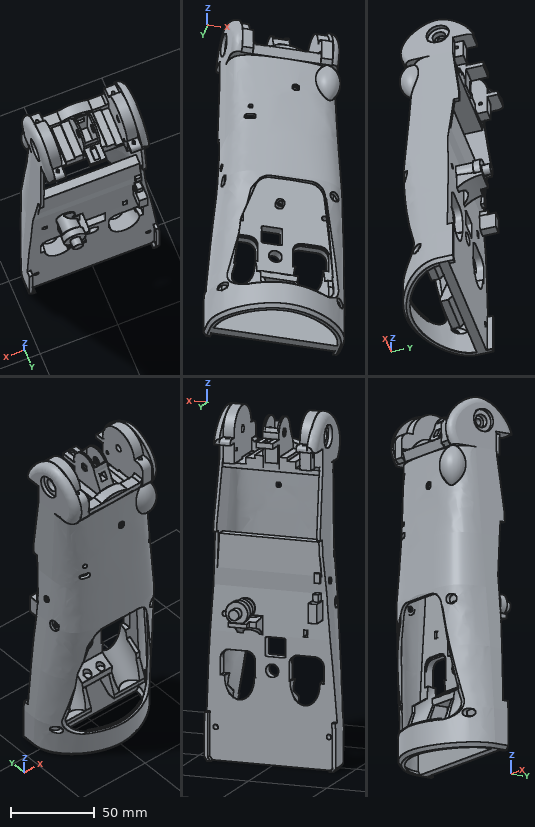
import cadquery as cq
import math


TOTAL_HEIGHT = 218.0
BASE_HALF_WIDTH = 41.99
BASE_FRONT = -42.1
BASE_TOP = 17.5
BASE_CHAMFER_HEIGHT = 2.4
BASE_CHAMFER_INSET = 1.9
SHELL_TOP = 186.0
WALL = 2.2
BACK_REACH = 6.0
FAR = 60.0

BASE_SECTION = (24.0, -BASE_HALF_WIDTH, BASE_HALF_WIDTH, BASE_FRONT, 1.78)
SECTIONS = [
    BASE_SECTION,
    (62.0, -38.8, 40.6, -38.4, 2.4),
    (99.0, -35.2, 38.4, -38.0, 3.2),
    (132.0, -32.8, 36.2, -35.6, 3.2),
    (SHELL_TOP, -32.6, 33.4, -32.3, 3.0),
]
FRONT_STEPS = 6
SEAM_FOOT = -9.3
SEAM_LEAN = -0.0455

BASE_BACK_TOP = 30.0
BACK_WAIST = (-4.5, 108.0)
STEP_INNER, STEP_OUTER = -1.4, 1.75
STEP_BOTTOM, STEP_TOP = 142.0, 148.0
NECK_BACK = -2.8

WINDOW_TOP = (-39.0, 103.5)
WINDOW_KNEE = (-35.6, 86.0)
WINDOW_MIDDLE = (-32.3, 57.0)
WINDOW_FOOT = (-26.7, 28.5)
WINDOW_BEND = (-28.6, 21.5)
WINDOW_BEND_END = (-34.5, BASE_TOP)
WINDOW_INNER_TOP = 96.4
LIP_HEIGHT = 1.3
LIP_INSET = 1.7
LIP_HALF_WIDTH = 26.0

EAR_PIVOT_Y = -12.1
EAR_PIVOT_Z = 203.3
EAR_DISC_RADIUS = TOTAL_HEIGHT - EAR_PIVOT_Z
EAR_FOOT = SHELL_TOP
EAR_BAND = 7.0
EAR_LEFT_OUT, EAR_LEFT_IN = -32.6, -20.0
EAR_RIGHT_IN, EAR_RIGHT_OUT = 21.9, 33.4
EAR_DOME_ROUND = 4.8
EAR_BORES = [(14.0, 2.5), (8.0, 6.0), (4.4, 15.0)]
EAR_BACK = 9.2
EAR_BACK_LEDGE = 201.0
EAR_UNDERCUT = 197.6
EAR_FRONT = -35.3
EAR_FRONT_LEDGE = 204.0
FRONT_LOBE_ROUND = 5.0
FRONT_LOBE_CHAMFER = 2.5
REAR_LOBE_ROUND = 2.0
LOBE_SETBACK = 0.5
PIN_DIAMETER = 2.0
LEDGE_HOLES_Y = (4.6, -28.3)
LEDGE_HOLE_BOTTOM = EAR_UNDERCUT + 0.8
CHEEK_BACK = 2.6
CHEEK_PIN = (-1.7, 193.0)
HEAD_TOP = 192.0
HEAD_FRONT = -34.3
CROWN = 2.6

PANEL_BACK = -3.5
PANEL_THICKNESS = 6.0
PANEL_FRONT = PANEL_BACK - PANEL_THICKNESS
PANEL_TOP = 140.0

DECK_BOTTOM, DECK_TOP = 181.0, 184.0

CELL_DIAMETER = 19.0
CELL_X = 20.9
CELL_RAKE = 42.0
CELL_EXIT_Z = 52.9
CELL_FLOOR = 22.4
OPENING_TOP = 69.0
OPENING_STEP = 1.2
OPENING_ROUND = 6.0
CRADLE_HALF_WIDTH = 33.0
CHANNEL_HALF_WIDTH = 9.0
CHANNEL_TOP = 35.6
BACK_SLOT_BOTTOM = 32.8
POST_HALF_WIDTH = 10.8
POCKET_X = 5.1

LEVER_LEFT, LEVER_RIGHT = -4.7, 5.7
LEVER_CHEEK = 1.2
LEVER_RADIUS = 9.7
LEVER_PIN = 5.0

PLUNGER_X, PLUNGER_Z = 17.0, 95.5
PLUNGER_TIP = 16.43

BASE_SCREW_Z = 20.6


def box(x0, x1, y0, y1, z0, z1):
    """Box between two opposite corners."""
    return cq.Workplane("XY").box(x1 - x0, y1 - y0, z1 - z0, centered=False).translate((x0, y0, z0))


def side_prism(outline, x0, x1):
    """Prism along X over a closed (Y, Z) polygon."""
    return cq.Workplane("YZ").polyline(outline).close().extrude(x1 - x0).translate((x0, 0, 0))


def rod(axis, center, diameter, start, end):
    """Cylinder along X, Y or Z between two stations; center holds the other two coordinates."""
    a, b = center
    origin, direction = {
        "X": ((start, a, b), (1, 0, 0)),
        "Y": ((a, start, b), (0, 1, 0)),
        "Z": ((a, b, start), (0, 0, 1)),
    }[axis]
    solid = cq.Solid.makeCylinder(diameter / 2, end - start, cq.Vector(*origin), cq.Vector(*direction))
    return cq.Workplane(solid)


def section_wire(section, height, inset):
    """D-section wire: straight back and sides closed by a rounded front."""
    left, right, front, roundness = section[1:]
    middle = (left + right) / 2
    half = (right - left) / 2 - inset
    shoulder = SEAM_FOOT + SEAM_LEAN * height
    depth = shoulder - front - inset
    handle = (8 * 2 ** (-1 / roundness) - 4) / 3

    def point(t):
        """Point of the front at t from -1 (left end) through 0 (foremost) to 1 (right end)."""
        u, v = abs(t), 1 - abs(t)
        across = math.copysign(u ** 3 + 3 * u ** 2 * v + 3 * u * v ** 2 * handle, t)
        forward = v ** 3 + 3 * v ** 2 * u + 3 * v * u ** 2 * handle
        return cq.Vector(middle + across * half, shoulder - forward * depth, height)

    curve = [point(i / FRONT_STEPS) for i in range(-FRONT_STEPS, FRONT_STEPS + 1)]
    back_left = cq.Vector(middle - half, BACK_REACH, height)
    back_right = cq.Vector(middle + half, BACK_REACH, height)
    return cq.Wire.assembleEdges([
        cq.Edge.makeLine(back_left, curve[0]),
        cq.Edge.makeSpline(curve),
        cq.Edge.makeLine(curve[-1], back_right),
        cq.Edge.makeLine(back_right, back_left),
    ])


def envelope(inset):
    """Solid body of the grip, pulled in by inset: a straight base with a tapered foot, then the taper."""
    wires = [
        section_wire(BASE_SECTION, 0, inset + BASE_CHAMFER_INSET),
        section_wire(BASE_SECTION, BASE_CHAMFER_HEIGHT, inset),
    ]
    wires += [section_wire(section, section[0], inset) for section in SECTIONS]
    return cq.Workplane(cq.Solid.makeLoft(wires, True))


def base_lip():
    """Low ledge standing on the base along the foot of the window."""
    wires = [section_wire(BASE_SECTION, z, LIP_INSET) for z in (BASE_TOP - 2, BASE_TOP + LIP_HEIGHT)]
    reach = box(-LIP_HALF_WIDTH, LIP_HALF_WIDTH, BASE_FRONT, WINDOW_BEND_END[0], 0, FAR)
    return cq.Workplane(cq.Solid.makeLoft(wires, True)).intersect(reach)


def side_trim():
    """Prism whose side outline gives the stepped back and the raked front window."""
    front = BASE_FRONT - 10
    outline = (
        cq.Workplane("YZ")
        .moveTo(0, 0)
        .lineTo(0, BASE_BACK_TOP)
        .lineTo(PANEL_BACK, BASE_BACK_TOP)
        .lineTo(PANEL_BACK, 80)
        .lineTo(*BACK_WAIST)
        .lineTo(STEP_INNER, STEP_BOTTOM)
        .lineTo(STEP_OUTER, STEP_BOTTOM)
        .lineTo(STEP_OUTER, STEP_TOP)
        .lineTo(NECK_BACK, EAR_FOOT)
        .lineTo(front, SHELL_TOP)
        .lineTo(front, WINDOW_TOP[1])
        .lineTo(*WINDOW_TOP)
        .lineTo(*WINDOW_KNEE)
        .threePointArc(WINDOW_MIDDLE, WINDOW_FOOT)
        .threePointArc(WINDOW_BEND, WINDOW_BEND_END)
        .lineTo(front, BASE_TOP)
        .lineTo(front, 0)
        .close()
    )
    return outline.extrude(2 * FAR).translate((-FAR, 0, 0))


def fittings():
    """Everything standing inside the grip: panel, cradles and the deck floor."""
    cells = cell_space(-CELL_X).union(cell_space(CELL_X))
    return panel().union(cradle()).cut(cells).union(deck_floor())


def make_shell():
    """Grip wall with its inner fittings left standing in the hollow."""
    outer = envelope(0).intersect(side_trim()).union(base_lip()).union(knuckle_bulge())
    hollow = envelope(WALL).union(window_relief()).cut(fittings())
    return outer.cut(hollow)


def window_relief():
    """Clears the inner side of the wall behind the window so that its rim is narrow."""
    sill, front, back = 36.0, -FAR, -22.0
    outline = [(-30.4, sill), (-27.3, 66), (-16.5, WINDOW_INNER_TOP), (22.8, WINDOW_INNER_TOP), (30.6, sill)]
    prism = cq.Workplane("XZ").polyline(outline).close().extrude(back - front).translate((0, back, 0))
    corner = 9.0
    return prism.edges("|Y and >Z").fillet(corner)


def knuckle_bulge():
    """Spindle-shaped swelling near the top of the front, on the +X side."""
    bottom, top, radius = 161.0, 187.5, 8.0
    axis_x, axis_y = 26.6, -29.5
    spindle = (
        cq.Workplane("XZ").moveTo(0, bottom)
        .threePointArc((radius, (bottom + top) / 2), (0, top)).close()
        .revolve(360, (0, 0, 0), (0, 1, 0))
    )
    return spindle.translate((axis_x, axis_y, 0))


def head_wall():
    """Overhanging front wall between the ears, with a low crown under the lever."""
    corner, back = 1.8, -27.0
    left, right = EAR_LEFT_IN - EAR_BAND, EAR_RIGHT_IN + EAR_BAND
    top = HEAD_TOP + CROWN
    face = (
        cq.Workplane("XZ").moveTo(left, EAR_FOOT)
        .lineTo(left, HEAD_TOP + corner).lineTo(EAR_LEFT_IN, HEAD_TOP + corner)
        .lineTo(EAR_LEFT_IN + corner, HEAD_TOP).lineTo(-9.5, HEAD_TOP)
        .threePointArc((0.5, top), (10.5, HEAD_TOP))
        .lineTo(EAR_RIGHT_IN - corner, HEAD_TOP).lineTo(EAR_RIGHT_IN, HEAD_TOP + corner)
        .lineTo(right, HEAD_TOP + corner).lineTo(right, EAR_FOOT)
        .close().extrude(FAR)
    )
    shell_front = SECTIONS[-1][3]
    lean = [(back, EAR_FOOT), (shell_front, EAR_FOOT), (HEAD_FRONT, HEAD_TOP), (HEAD_FRONT, top), (back, top)]
    return face.intersect(side_prism(lean, -FAR, FAR))


def ear_outline():
    """Side outline of an ear's outer, domed layer."""
    return (
        cq.Workplane("YZ")
        .moveTo(NECK_BACK, EAR_FOOT)
        .lineTo(NECK_BACK, EAR_UNDERCUT)
        .lineTo(EAR_BACK, EAR_UNDERCUT)
        .lineTo(EAR_BACK, EAR_BACK_LEDGE)
        .spline([(-2.0, 214.0), (-13.0, TOTAL_HEIGHT), (-24.7, 214.2), (-34.6, 203.5), (-33.0, EAR_FOOT)],
                includeCurrent=True)
        .close()
    )


def ear(inner, outer):
    """Hinge ear from its flat inner face to its domed outer face."""
    side = math.copysign(1, outer)
    dome_depth = abs(outer - inner) - EAR_BAND
    dome = ear_outline().extrude(side * dome_depth).translate((inner + side * EAR_BAND, 0, 0))
    rim = "<X" if side < 0 else ">X"
    dome = dome.faces(rim).edges("%BSPLINE").fillet(min(EAR_DOME_ROUND, 0.9 * dome_depth))

    x0, x1 = sorted((inner, inner + side * EAR_BAND))
    disc = rod("X", (EAR_PIVOT_Y, EAR_PIVOT_Z), 2 * EAR_DISC_RADIUS, x0, x1)
    front_lobe = box(x0, x1, EAR_FRONT + LOBE_SETBACK, EAR_PIVOT_Y, EAR_FOOT, EAR_FRONT_LEDGE)
    front_lobe = front_lobe.edges("|X and <Y").edges(">Z").fillet(FRONT_LOBE_ROUND)
    front_lobe = front_lobe.edges("|X and <Y").edges("<Z").chamfer(FRONT_LOBE_CHAMFER)
    rear_lobe = box(x0, x1, EAR_PIVOT_Y, EAR_BACK, EAR_UNDERCUT, EAR_BACK_LEDGE)
    rear_lobe = rear_lobe.edges("|X and >Y").edges(">Z").fillet(REAR_LOBE_ROUND)
    cheek = box(x0, x1, EAR_PIVOT_Y, CHEEK_BACK, EAR_FOOT - 1, EAR_UNDERCUT)
    plate = disc.union(front_lobe).union(rear_lobe).union(cheek).union(dome)

    for diameter, depth in EAR_BORES:
        bore = rod("X", (EAR_PIVOT_Y, EAR_PIVOT_Z), diameter, *sorted((outer, outer - side * depth)))
        plate = plate.cut(bore)
    for y in LEDGE_HOLES_Y:
        plate = plate.cut(rod("Z", ((x0 + x1) / 2, y), PIN_DIAMETER, LEDGE_HOLE_BOTTOM, TOTAL_HEIGHT))
    pin_hole = rod("X", CHEEK_PIN, PIN_DIAMETER, *sorted((inner, outer)))
    return plate.cut(pin_hole)


def deck_floor():
    """Floor closing the top of the hollow in front of the back opening."""
    return box(EAR_LEFT_OUT, EAR_RIGHT_OUT, -FAR, PANEL_BACK, DECK_BOTTOM, DECK_TOP)


def deck_blocks():
    """Two stepped blocks on the deck, one each side of the lever."""
    front = -27.0
    step_top, block_top = 188.0, 190.0
    blocks = box(-15.0, LEVER_LEFT, front, PANEL_BACK, DECK_TOP, step_top)
    blocks = blocks.union(box(-9.5, LEVER_LEFT, front, PANEL_BACK, DECK_TOP, block_top))
    blocks = blocks.union(box(LEVER_RIGHT, 16.7, front, PANEL_BACK, DECK_TOP, step_top))
    return blocks.union(box(LEVER_RIGHT, 11.0, front, PANEL_BACK, DECK_TOP, block_top))


def lever():
    """Forked lever standing between the ears."""
    pivot = (EAR_PIVOT_Y, EAR_PIVOT_Z)
    inner_left, inner_right = LEVER_LEFT + LEVER_CHEEK, LEVER_RIGHT - LEVER_CHEEK
    foot, fork_bottom, well_bottom = DECK_TOP - 1, 208.0, 186.0
    front, tail_back, tail_top = -27.0, 7.9, 201.0

    body = rod("X", pivot, 2 * LEVER_RADIUS, LEVER_LEFT, LEVER_RIGHT)
    outline = [(PANEL_BACK, foot), (-2.5, 205), (-20, fork_bottom), (front, 194), (front, foot)]
    stem = side_prism(outline, LEVER_LEFT, LEVER_RIGHT)
    tail = box(LEVER_LEFT, LEVER_RIGHT, EAR_PIVOT_Y, tail_back, EAR_UNDERCUT, tail_top)
    arm = body.union(stem).union(tail)

    fork = box(inner_left, inner_right, -FAR, PANEL_BACK, fork_bottom, TOTAL_HEIGHT)
    well = box(inner_left, inner_right, -20, PANEL_BACK, well_bottom, TOTAL_HEIGHT)
    catch = box(-1.5, 2.5, -FAR, -18, 198.5, 203)
    tail_slot = box(-1.2, 2.2, -1.5, 6.5, tail_top - 2, TOTAL_HEIGHT)
    pin = rod("X", pivot, LEVER_PIN, LEVER_LEFT, LEVER_RIGHT)
    return arm.cut(fork).cut(well).cut(catch).cut(tail_slot).cut(pin)


def panel():
    """Flat wall closing the back behind the window."""
    wall = box(-BASE_HALF_WIDTH, BASE_HALF_WIDTH, PANEL_FRONT, PANEL_BACK, 0, PANEL_TOP)
    square = box(-8.5, 4.3, -FAR, FAR, 66.8, 78.8).edges("|Y").fillet(1)
    round_hole = rod("Y", (0, 58.2), 8.0, -FAR, FAR)
    slit = box(-22.5, -20.0, -FAR, FAR, 80.8, 85)
    slot = box(-CHANNEL_HALF_WIDTH, CHANNEL_HALF_WIDTH, -FAR, FAR, BACK_SLOT_BOTTOM, CHANNEL_TOP)
    wall = wall.cut(square).cut(round_hole).cut(slit).cut(slot)
    boss_center, boss_front = (2.4, 95.5), PANEL_FRONT - 3
    boss = rod("Y", boss_center, 5.2, boss_front, PANEL_FRONT)
    return wall.union(boss.cut(rod("Y", boss_center, 2.5, boss_front, PANEL_FRONT)))


def cradle():
    """Raked block under the cells, with a middle post bridging a channel."""
    post_front, lip_front, post_shoulder, underside = -18.5, -23.5, 40.0, 19.5
    outline = [
        (PANEL_BACK, 45.6), (PANEL_FRONT, 45.6), (post_front, post_shoulder), (post_front, CHANNEL_TOP),
        (lip_front, CELL_FLOOR), (lip_front, underside), (post_front, underside), (PANEL_BACK, 32),
    ]
    support = side_prism(outline, -CRADLE_HALF_WIDTH, CRADLE_HALF_WIDTH)
    channel = box(-CHANNEL_HALF_WIDTH, CHANNEL_HALF_WIDTH, -FAR, PANEL_FRONT, 0, CHANNEL_TOP)
    support = support.cut(channel)
    for x in (-POCKET_X, POCKET_X):
        support = support.cut(rod("Z", (x, post_front + 3.0), 5.2, post_shoulder, 50))
    return support


def cell_space(x):
    """Raked cylinder of a cell, with the stepped opening above it through the panel."""
    lead, reach = 20.0, 60.0
    rake = math.radians(CELL_RAKE)
    direction = cq.Vector(0, -math.sin(rake), -math.cos(rake))
    start = cq.Vector(x, PANEL_BACK, CELL_EXIT_Z) - direction * lead
    cell = cq.Workplane(cq.Solid.makeCylinder(CELL_DIAMETER / 2, reach, start, direction))
    cell = cell.intersect(box(-FAR, FAR, -FAR, FAR, CELL_FLOOR, OPENING_TOP))

    x0, x1 = sorted((math.copysign(POST_HALF_WIDTH, x), math.copysign(CRADLE_HALF_WIDTH, x)))
    for back, top in ((0, OPENING_TOP), (PANEL_FRONT + OPENING_STEP, OPENING_TOP + OPENING_STEP)):
        opening = box(x0, x1, 2 * PANEL_FRONT, back, CELL_EXIT_Z, top)
        cell = cell.union(opening.edges("|Y and >Z").fillet(OPENING_ROUND))
    return cell


def plunger():
    """Button stem with flange on a curved shelf behind the panel."""
    center = (PLUNGER_X, PLUNGER_Z)
    flange_front, flange_back = 6.8, 11.4
    stem = rod("Y", center, 6.51, PANEL_FRONT, PLUNGER_TIP)
    flange = rod("Y", center, 14.0, flange_front, flange_back)
    collar = rod("Y", center, 12.0, PANEL_FRONT, flange_front)

    shelf_left, shelf_width, shelf_bottom, shelf_back = 6.0, 16.0, 80.0, 12.3
    shelf = (
        cq.Workplane("YZ").moveTo(PANEL_FRONT, shelf_bottom).lineTo(PANEL_BACK, shelf_bottom)
        .threePointArc((4, 85.2), (shelf_back, 87)).lineTo(shelf_back, 89.5).lineTo(PANEL_FRONT, 92).close()
        .extrude(shelf_width).translate((shelf_left, 0, 0))
    )
    shelf = shelf.cut(box(0, 10.3, 7.7, FAR, 0, TOTAL_HEIGHT))
    drop_hole = rod("Z", (13.2, -4.9), 10.8, 0, TOTAL_HEIGHT)
    drop_hole = drop_hole.intersect(box(0, FAR, PANEL_BACK, FAR, 0, TOTAL_HEIGHT))
    return stem.union(flange).union(collar).union(shelf).cut(drop_hole)


def back_blocks():
    """Switch block and small clip standing off the back on the -X side."""
    switch = box(-32.0, -26.5, PANEL_FRONT, 5.9, 92, 104)
    clip = box(-31.0, -27.5, PANEL_FRONT, 0.5, 104, 108.5)
    stop = box(-31.0, -27.5, PANEL_FRONT, -1.7, 115, 121)
    return switch.union(clip).union(stop)


def front_screw(x, z, head, shank, seat_y):
    """Counterbored screw hole along Y entering from the front."""
    return rod("Y", (x, z), head, -FAR, seat_y).union(rod("Y", (x, z), shank, -FAR, FAR))


def side_screw(y, z, head, shank):
    """Counterbored screw hole along X entering from the -X side."""
    seat_x, end_x = -33.5, -25.0
    return rod("X", (y, z), head, -FAR, seat_x).union(rod("X", (y, z), shank, -FAR, end_x))


def screw_holes():
    """All the counterbored screw holes in the grip wall."""
    holes = front_screw(-36.2, BASE_SCREW_Z, 5.0, 3.0, -10.0)
    holes = holes.union(front_screw(36.0, BASE_SCREW_Z, 5.0, 3.0, -10.0))
    holes = holes.union(front_screw(30.3, 90.7, 6.0, 3.2, -26.0))
    holes = holes.union(front_screw(6.4, 165.6, 4.4, 3.0, -32.5))
    holes = holes.union(side_screw(-11.8, 114.8, 4.0, 2.0))
    return holes.union(side_screw(-20.0, 99.7, 7.0, 3.2))


def strap_holes():
    """Small round hole above an oval one, left of the middle of the front."""
    depth_limit = -24.0
    hole = rod("Y", (-21.3, 147.8), 2.5, -FAR, depth_limit)
    oval = cq.Workplane("XZ").center(-21.6, 140.4).slot2D(6.5, 3.2).extrude(FAR)
    return hole.union(oval.intersect(box(-FAR, FAR, -FAR, depth_limit, 0, TOTAL_HEIGHT)))


result = make_shell()
result = result.union(head_wall().union(deck_blocks()).union(lever()))
result = result.union(ear(EAR_LEFT_IN, EAR_LEFT_OUT))
result = result.union(ear(EAR_RIGHT_IN, EAR_RIGHT_OUT))
result = result.union(plunger().union(back_blocks()))
result = result.cut(screw_holes().union(strap_holes()))